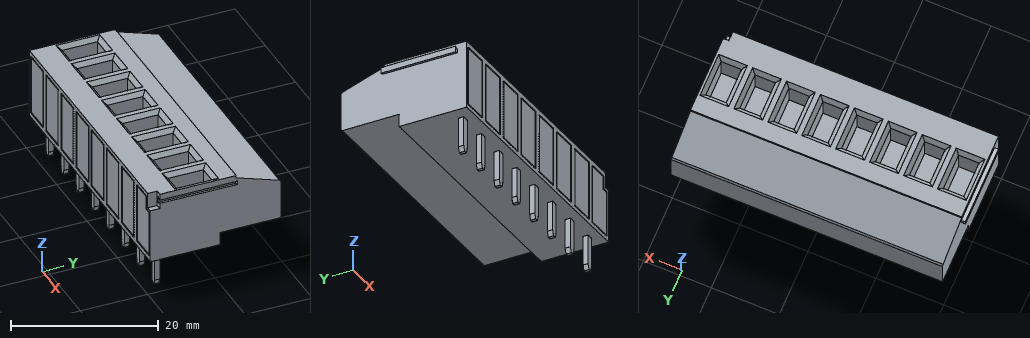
import cadquery as cq

pole_count = 8
total_length = 40.6
rail_depth = 0.6
body_length = total_length - rail_depth
pitch = body_length / pole_count
body_depth = 19.5
total_height = 15.9
body_height = 10.55
pin_length = total_height - body_height

plate_thickness = 1.42
back_top_z = body_height - 2.48
slope_front_y = body_depth - 6.7
lip_height = 0.35
back_bottom_z = 1.95
step_y = body_depth - 9.05
back_chamfer = 0.25

recess_margin_x = 0.5
recess_margin_z = 0.77
recess_depth = 0.12
notch_width = 0.85
notch_height = 2.3

well_length = 4.22
well_width = 6.5
well_center_y = body_depth - 12.42
well_bevel = 0.6
well_floor_depth = 4.87

rail_center_z = body_height - 1.2
rail_outer_height = 0.9
rail_root_height = 0.53
rail_back_y = body_depth - 6.55

pin_width = 1.0
pin_thickness = 0.8
pin_center_y = 1.95
pin_tip_width = 0.5
pin_tip_height = 0.8


def pole_x(index):
    """X position of the centre of one pole."""
    return (index + 0.5) * pitch


def make_housing():
    """Extrude the stepped, sloping side profile along X."""
    return (
        cq.Workplane("YZ")
        .moveTo(0, 0)
        .lineTo(step_y, 0)
        .lineTo(step_y, back_bottom_z)
        .lineTo(body_depth - back_chamfer, back_bottom_z)
        .lineTo(body_depth, back_bottom_z + back_chamfer)
        .lineTo(body_depth, back_top_z - back_chamfer)
        .lineTo(body_depth - back_chamfer, back_top_z)
        .lineTo(slope_front_y, body_height - lip_height)
        .lineTo(slope_front_y, body_height)
        .lineTo(0, body_height)
        .close()
        .extrude(body_length)
    )


def box(x_start, x_end, y_start, y_end, z_start, z_end):
    """Axis-aligned box between two corners."""
    size = (x_end - x_start, y_end - y_start, z_end - z_start)
    return cq.Workplane("XY").box(*size, centered=False).translate((x_start, y_start, z_start))


def corner_notch(extra, depth):
    """Box at the upper +X front corner, enlarged by a margin on its inner sides."""
    return box(
        body_length - notch_width - extra, body_length,
        0, depth,
        body_height - notch_height - extra, body_height,
    )


def make_recesses():
    """Shallow front recesses; the last one steps around the corner notch."""
    half_length = pitch / 2 - recess_margin_x
    recesses = cq.Workplane("XY")
    for index in range(pole_count):
        recesses = recesses.add(box(
            pole_x(index) - half_length, pole_x(index) + half_length,
            0, recess_depth,
            recess_margin_z, body_height - recess_margin_z,
        ))
    return recesses.combine().cut(corner_notch(recess_margin_x, recess_depth))


def make_well(index):
    """Rectangular well with a bevelled mouth."""
    mouth = (
        cq.Workplane("XY", origin=(pole_x(index), well_center_y, body_height))
        .rect(well_length, well_width)
        .workplane(offset=-well_bevel)
        .rect(well_length - 2 * well_bevel, well_width - 2 * well_bevel)
        .loft(ruled=True)
    )
    shaft = (
        cq.Workplane("XY", origin=(pole_x(index), well_center_y, body_height - well_bevel))
        .rect(well_length - 2 * well_bevel, well_width - 2 * well_bevel)
        .extrude(well_bevel - well_floor_depth)
    )
    return mouth.union(shaft)


def make_rail(root_x):
    """Dovetail bar widening toward -X, running back from the plate."""
    section = [
        (root_x, rail_center_z - rail_root_height / 2),
        (root_x, rail_center_z + rail_root_height / 2),
        (root_x - rail_depth, rail_center_z + rail_outer_height / 2),
        (root_x - rail_depth, rail_center_z - rail_outer_height / 2),
    ]
    return (
        cq.Workplane("XZ", origin=(0, plate_thickness, 0))
        .polyline(section)
        .close()
        .extrude(plate_thickness - rail_back_y)
    )


def make_pin(index):
    """Flat pin with a tapered tip, starting at the housing underside."""
    outline = [
        (-pin_width / 2, 0),
        (pin_width / 2, 0),
        (pin_width / 2, pin_tip_height - pin_length),
        (pin_tip_width / 2, -pin_length),
        (-pin_tip_width / 2, -pin_length),
        (-pin_width / 2, pin_tip_height - pin_length),
    ]
    return (
        cq.Workplane("XZ", origin=(pole_x(index), pin_center_y, 0))
        .polyline(outline)
        .close()
        .extrude(pin_thickness / 2, both=True)
    )


result = make_housing().cut(corner_notch(0, plate_thickness)).cut(make_recesses())
result = result.union(make_rail(0)).cut(make_rail(body_length))
for pole in range(pole_count):
    result = result.cut(make_well(pole)).union(make_pin(pole))